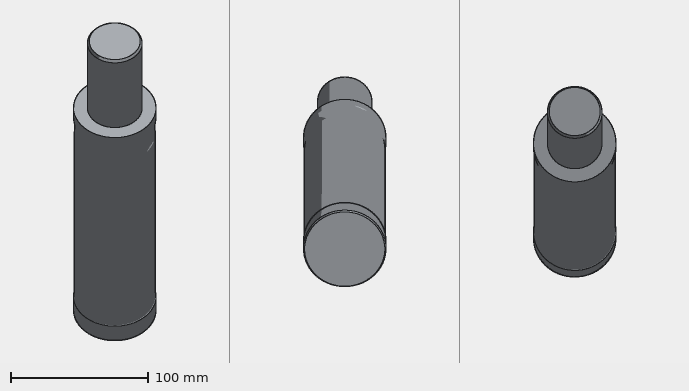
import cadquery as cq

total_height = 285.0
housing_height = 215.0

band_diameter = 60.0
base_height = 16.2
base_edge_width = 0.9
base_edge_height = 1.5
tube_diameter = 59.3
collar_height = 10.0
waist_height = 18.0
waist_depth = 0.5

rod_radius = 20.0
rod_chamfer_height = 2.0
rod_chamfer_width = 1.5
bore_floor = base_height

band_radius = band_diameter / 2
tube_radius = tube_diameter / 2
fillet_radius = band_radius - tube_radius
waist_top = housing_height - collar_height
waist_bottom = waist_top - waist_height
waist_middle = (waist_top + waist_bottom) / 2


def make_housing():
    """Revolve the housing's half section about Z; the bore is part of the section."""
    section = (
        cq.Workplane("XZ")
        .moveTo(0, 0)
        .lineTo(band_radius - base_edge_width, 0)
        .lineTo(band_radius, base_edge_height)
        .lineTo(band_radius, base_height)
        .radiusArc((tube_radius, base_height + fillet_radius), fillet_radius)
        .lineTo(tube_radius, waist_bottom)
        .threePointArc(
            (tube_radius - waist_depth, waist_middle),
            (band_radius, waist_top),
        )
        .lineTo(band_radius, housing_height)
        .lineTo(rod_radius, housing_height)
        .lineTo(rod_radius, bore_floor)
        .lineTo(0, bore_floor)
        .close()
    )
    return section.revolve(360, (0, 0, 0), (0, 1, 0))


def make_rod():
    """Round bar from the bore floor to the top, with a chamfered top edge."""
    return (
        cq.Workplane("XY")
        .workplane(offset=bore_floor)
        .circle(rod_radius)
        .extrude(total_height - bore_floor)
        .edges(">Z")
        .chamfer(rod_chamfer_height, rod_chamfer_width)
    )


housing = make_housing()
rod = make_rod()

result = cq.Compound.makeCompound([housing.val(), rod.val()])